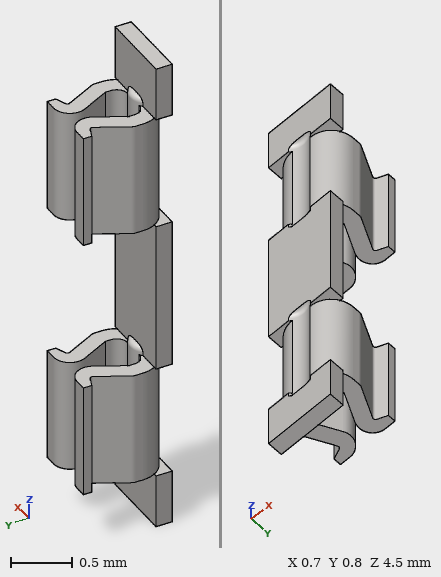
import math

import cadquery as cq

WIDTH = 0.7
THICKNESS = 0.15
END_LENGTH = 0.5
MIDDLE_LENGTH = 1.4

CLIP_LENGTH = 1.05
CLIP_DEPTH = 0.8
CLIP_OFFSET = 0.02
FOOT_RADIUS = 0.25
KNEE_RADIUS = 0.075
LEAN = math.radians(27)
NECK_RADIUS = THICKNESS
MOUTH_WIDTH = 0.1
LIP_HALF_SPAN = 0.308
LIP_EDGE = 0.078
CREASE_RADIUS = 0.025

BEAD_DEPTH = 0.05
BEAD_RUNOUT = 0.075
BEAD_END_RADIUS = BEAD_DEPTH

TOTAL_LENGTH = 2 * END_LENGTH + 2 * CLIP_LENGTH + MIDDLE_LENGTH
HALF_WIDTH = WIDTH / 2
CLIP_STARTS = (END_LENGTH, END_LENGTH + CLIP_LENGTH + MIDDLE_LENGTH)

FOOT_X = HALF_WIDTH - FOOT_RADIUS
FOOT_Y = CLIP_OFFSET + FOOT_RADIUS
FOOT_RISE = BEAD_DEPTH - CLIP_OFFSET
BEAD_RADIUS = (FOOT_X**2 + FOOT_RISE**2) / (2 * FOOT_RISE)


def on_circle(center, radius, angle):
    """Point on a circle, with the angle in radians from +X."""
    return (center[0] + radius * math.cos(angle), center[1] + radius * math.sin(angle))


def bead_point(x, base):
    """Point on the bead arc that rises from the flat face at Y = base."""
    rise = BEAD_DEPTH - BEAD_RADIUS + math.sqrt(BEAD_RADIUS**2 - x**2)
    return (x, base + rise)


def half_clip():
    """One arm of the clip with its half of the beaded base, on the +X side."""
    foot = (FOOT_X, FOOT_Y)
    inner_foot_radius = FOOT_RADIUS - THICKNESS
    neck = (MOUTH_WIDTH / 2 + NECK_RADIUS, CLIP_DEPTH - NECK_RADIUS)

    bend_y = neck[1] - (HALF_WIDTH - neck[0]) / math.tan(LEAN)
    knee = (HALF_WIDTH - KNEE_RADIUS, bend_y - KNEE_RADIUS * math.tan(LEAN / 2))
    crease = on_circle(neck, CREASE_RADIUS, LEAN)

    lip_edge = (LIP_HALF_SPAN, CLIP_DEPTH - LIP_EDGE)
    edge_dx = lip_edge[0] - crease[0]
    edge_dy = lip_edge[1] - crease[1]
    edge_angle = math.atan2(edge_dy, edge_dx)
    lip_angle = edge_angle + math.acos(CREASE_RADIUS / math.hypot(edge_dx, edge_dy))

    arm_top_angle = math.pi + LEAN
    arm_top = on_circle(neck, NECK_RADIUS, arm_top_angle)
    inner_x = HALF_WIDTH - THICKNESS
    inner_knee = (inner_x, arm_top[1] - (inner_x - arm_top[0]) / math.tan(LEAN))

    outline = (
        cq.Workplane("XY")
        .moveTo(*bead_point(0, 0))
        .threePointArc(bead_point(FOOT_X / 2, 0), (FOOT_X, CLIP_OFFSET))
        .threePointArc(on_circle(foot, FOOT_RADIUS, -math.pi / 4), (HALF_WIDTH, FOOT_Y))
        .lineTo(HALF_WIDTH, knee[1])
        .threePointArc(on_circle(knee, KNEE_RADIUS, LEAN / 2), on_circle(knee, KNEE_RADIUS, LEAN))
        .lineTo(*on_circle(crease, CREASE_RADIUS, math.pi + LEAN))
        .threePointArc(
            on_circle(crease, CREASE_RADIUS, (math.pi + LEAN + lip_angle) / 2),
            on_circle(crease, CREASE_RADIUS, lip_angle),
        )
        .lineTo(*lip_edge)
        .lineTo(LIP_HALF_SPAN, CLIP_DEPTH)
        .lineTo(neck[0], CLIP_DEPTH)
        .threePointArc(on_circle(neck, NECK_RADIUS, math.pi), arm_top)
        .lineTo(*inner_knee)
        .lineTo(inner_x, FOOT_Y)
        .threePointArc(
            on_circle(foot, inner_foot_radius, -math.pi / 4),
            (FOOT_X, FOOT_Y - inner_foot_radius),
        )
        .threePointArc(bead_point(FOOT_X / 2, THICKNESS), bead_point(0, THICKNESS))
        .close()
    )
    return outline.extrude(CLIP_LENGTH)


def clip():
    """Spring clip standing on Z = 0."""
    arm = half_clip()
    return arm.union(arm.mirror("YZ"))


def bead(base, clip_start):
    """Bead rising from the flat face at Y = base, with both ends rounded off."""
    bottom = clip_start - BEAD_RUNOUT
    length = CLIP_LENGTH + 2 * BEAD_RUNOUT
    axis_y = base + BEAD_DEPTH - BEAD_RADIUS
    barrel = (
        cq.Workplane("XY", origin=(0, axis_y, bottom))
        .circle(BEAD_RADIUS)
        .extrude(length)
        .edges("%CIRCLE")
        .fillet(BEAD_END_RADIUS)
    )
    above_face = cq.Workplane("XY", origin=(0, base, bottom)).box(
        WIDTH, BEAD_DEPTH, length, centered=(True, False, False)
    )
    return barrel.intersect(above_face)


def strip():
    """Flat lengths of the strip, with gaps where the clips go."""
    bar = cq.Workplane("XY").box(WIDTH, THICKNESS, TOTAL_LENGTH, centered=(True, False, False))
    for start in CLIP_STARTS:
        gap = cq.Workplane("XY", origin=(0, 0, start)).box(
            WIDTH, THICKNESS, CLIP_LENGTH, centered=(True, False, False)
        )
        bar = bar.cut(gap)
    return bar


def runouts(base, clip_start):
    """Parts of a bead that lie beyond the two ends of its clip."""
    span = cq.Workplane("XY", origin=(0, 0, clip_start)).box(
        WIDTH, 2 * CLIP_DEPTH, CLIP_LENGTH, centered=(True, True, False)
    )
    return bead(base, clip_start).cut(span)


body = strip()
for start in CLIP_STARTS:
    body = body.union(runouts(THICKNESS, start)).cut(runouts(0, start))
    body = body.union(clip().translate((0, 0, start)))

result = body.translate((0, 0, -TOTAL_LENGTH / 2))